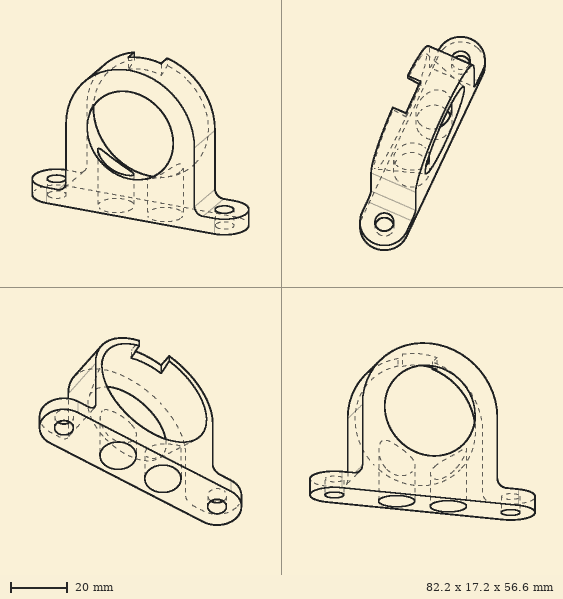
import cadquery as cq
import math

width = 17.2
center_height = 31.75
head_radius = 24.89

foot_thickness = 6.0
bolt_spacing = 65.0
bolt_diameter = 6.6
foot_end_radius = width / 2
foot_length = bolt_spacing + 2 * foot_end_radius
corner_radius = 3.2

bore_front_diameter = 33.3
bore_back_diameter = 44.45

slot_width = 12.7
slot_depth = 5.1

base_hole_diameter = 12.7
base_hole_spacing = 19.05


def make_foot():
    return cq.Workplane("XY").slot2D(foot_length, width).extrude(foot_thickness)


def make_housing():
    upright = (
        cq.Workplane("XZ", origin=(0, width / 2, 0))
        .moveTo(-head_radius, 0)
        .lineTo(-head_radius, center_height)
        .threePointArc((0, center_height + head_radius), (head_radius, center_height))
        .lineTo(head_radius, 0)
        .close()
        .extrude(width)
    )
    return upright


def make_corner_fillet(side):
    """Concave web joining the housing wall to the foot on one side (+1 or -1)."""
    wall = side * head_radius
    toe = side * (head_radius + corner_radius)
    top = foot_thickness + corner_radius
    mid_offset = corner_radius * (1 - math.sqrt(0.5))
    arc_middle = (wall + side * mid_offset, foot_thickness + mid_offset)
    return (
        cq.Workplane("XZ", origin=(0, width / 2, 0))
        .moveTo(wall, foot_thickness)
        .lineTo(toe, foot_thickness)
        .threePointArc(arc_middle, (wall, top))
        .close()
        .extrude(width)
    )


def make_bore():
    return (
        cq.Workplane("XZ", origin=(0, width / 2, center_height))
        .circle(bore_back_diameter / 2)
        .workplane(offset=width)
        .circle(bore_front_diameter / 2)
        .loft(ruled=True)
    )


def make_slot():
    return (
        cq.Workplane("XY", origin=(0, width / 2 - slot_depth / 2, center_height))
        .rect(slot_width, slot_depth)
        .extrude(head_radius)
    )


def make_vertical_holes(diameter, spacing, height):
    return (
        cq.Workplane("XY")
        .pushPoints([(-spacing / 2, 0), (spacing / 2, 0)])
        .circle(diameter / 2)
        .extrude(height)
    )


body = make_foot().union(make_housing())
for side in (-1, 1):
    body = body.union(make_corner_fillet(side))

body = body.cut(make_bore())
body = body.cut(make_slot())
body = body.cut(make_vertical_holes(bolt_diameter, bolt_spacing, foot_thickness))
body = body.cut(make_vertical_holes(base_hole_diameter, base_hole_spacing, center_height))

result = body